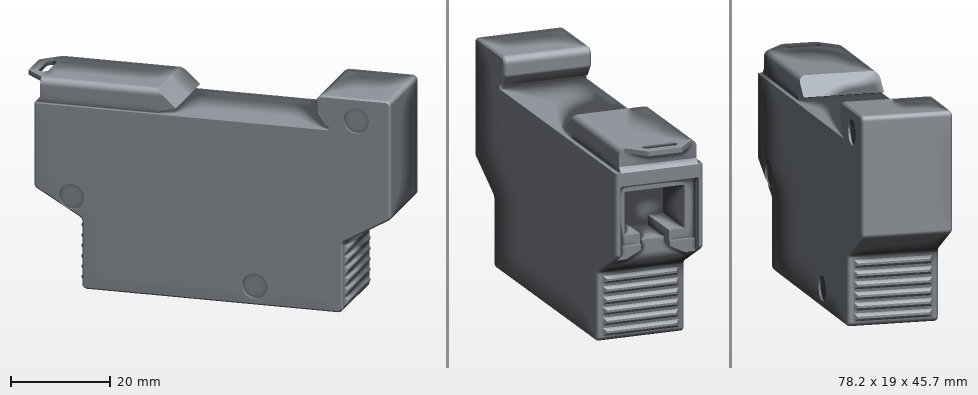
import cadquery as cq
import math

WIDTH = 19.0
HEIGHT = 45.66
HALF_UPPER = 37.6
HALF_FOOT = 27.5
SHOULDER_Z = 38.4
SLOPE_TOP_Z = 20.65
SLOPE_ANGLE = 30.0
CORNER_R = 1.0
EDGE_CHAMFER = 0.35

BLOCK_X = 21.85
NOSE_LOW_Z = 41.7
NOSE_TIP_X = 23.45
NOSE_TIP_Z = 39.4
BLOCK_ROOT_X = 24.5
NOSE_R = 1.5

COVER_WIDTH = 16.9
COVER_X = -36.65
COVER_TOP_Z = 43.35
COVER_BEVEL_Z = 39.5
COVER_TOP_END_X = -12.0
COVER_TIP = (-8.0, 39.7)
COVER_HEEL = (-11.5, 38.8)
COVER_EDGE_R = 1.4

OVERALL_LENGTH = 78.18
TAB_THICKNESS = 1.0
TAB_TIP_HALF_WIDTH = 3.6
TAB_ROOT_HALF_WIDTH = 7.3
SLOT_LENGTH = 7.5
SLOT_WIDTH = 2.0

RECESS_WIDTH = 17.1
RECESS_TOP_Z = 35.6
RECESS_DEPTH = 2.75
SILL_DEPTH = 2.1
SILL_Z = 22.2
JACK_WIDTH = 13.0
JACK_TOP_Z = 33.5
JACK_FLOOR_Z = 24.3
JACK_DEPTH = 14.0
LATCH_WIDTH = 6.3
LATCH_FLOOR_Z = SILL_Z

SCOOP_DEPTH = 5.05
FLARE_START_Z = 21.1
SCOOP_MID = (6.4, 19.4)
SCOOP_END = (9.1, 16.75)
SCOOP_LIP_R = 3.0

RIB_COUNT = 6
RIB_PITCH = 2.21
RIB_FIRST_Z = 1.95
RIB_LENGTH = 16.4
RIB_BASE = 1.65
RIB_HEIGHT = 0.6
RIB_TAPER = 45.0

MARK_DIAMETER = 5.3
MARK_DEPTH = 0.5
MARK_CENTERS = [(-29.65, 19.3), (9.0, 4.0), (30.4, 40.95)]

FOOT_TOP_Z = SLOPE_TOP_Z - (HALF_UPPER - HALF_FOOT) * math.tan(math.radians(SLOPE_ANGLE))
MARGIN = 5.0
TOL = 0.01


def slab(points, width):
    """Extrude an XZ outline symmetrically about Y = 0."""
    return cq.Workplane("XZ").polyline(points).close().extrude(width / 2, both=True)


def cross_edges(body, x, z):
    """Edges running along Y through the given XZ point."""
    half = WIDTH / 2 + 1
    return body.edges(cq.selectors.BoxSelector((x - TOL, -half, z - TOL), (x + TOL, half, z + TOL)))


def make_housing():
    rounded = [
        (-HALF_UPPER, SLOPE_TOP_Z),
        (-HALF_FOOT, FOOT_TOP_Z),
        (-HALF_FOOT, 0),
        (HALF_FOOT, 0),
        (HALF_FOOT, FOOT_TOP_Z),
        (HALF_UPPER, SLOPE_TOP_Z),
        (HALF_UPPER, HEIGHT),
    ]
    nose = [
        (BLOCK_X, HEIGHT),
        (BLOCK_X, NOSE_LOW_Z),
        (NOSE_TIP_X, NOSE_TIP_Z),
        (BLOCK_ROOT_X, NOSE_TIP_Z),
        (BLOCK_ROOT_X, SHOULDER_Z),
        (-HALF_UPPER, SHOULDER_Z),
    ]
    body = slab(rounded + nose, WIDTH)
    for x, z in rounded:
        body = cross_edges(body, x, z).fillet(CORNER_R)
    body = cross_edges(body, *nose[0]).fillet(NOSE_R)
    body = cross_edges(body, *nose[1]).fillet(CORNER_R)

    sharp = cq.selectors.BoxSelector(
        (-HALF_UPPER, -WIDTH, SHOULDER_Z - TOL),
        (BLOCK_ROOT_X + TOL, WIDTH, NOSE_TIP_Z + TOL),
    )
    outline = body.faces("<Y or >Y").edges()
    sharp_edges = outline.edges(sharp).vals()
    broken_edges = [edge for edge in outline.vals() if not any(edge.isSame(other) for other in sharp_edges)]
    return body.newObject(broken_edges).chamfer(EDGE_CHAMFER)


def make_cover():
    side_outline = [
        (COVER_X, COVER_BEVEL_Z),
        (COVER_X, COVER_TOP_Z),
        (COVER_TOP_END_X, COVER_TOP_Z),
        COVER_TIP,
        COVER_HEEL,
        (COVER_HEEL[0], SHOULDER_Z),
        (-HALF_UPPER, SHOULDER_Z),
    ]
    cover = slab(side_outline, COVER_WIDTH)
    return cover.faces(">Z").edges("|X").fillet(COVER_EDGE_R)


def make_tab():
    tip_x = HALF_UPPER - OVERALL_LENGTH
    tab = (
        cq.Workplane("XY", origin=(0, 0, COVER_TOP_Z - TAB_THICKNESS))
        .polyline([
            (tip_x, -TAB_TIP_HALF_WIDTH),
            (COVER_X, -TAB_ROOT_HALF_WIDTH),
            (COVER_X, TAB_ROOT_HALF_WIDTH),
            (tip_x, TAB_TIP_HALF_WIDTH),
        ])
        .close()
        .extrude(TAB_THICKNESS)
    )
    slot = (
        cq.Workplane("XY", origin=(COVER_X - SLOT_WIDTH / 2, 0, COVER_TOP_Z))
        .slot2D(SLOT_LENGTH, SLOT_WIDTH, 90)
        .extrude(-TAB_THICKNESS)
    )
    return tab.cut(slot)


def end_pocket(width, bottom_z, top_z, depth):
    """Rectangular cutter entering the -X end to the given depth."""
    start = cq.Workplane("XY", origin=(-HALF_UPPER - MARGIN, 0, bottom_z))
    return start.box(MARGIN + depth, width, top_z - bottom_z, centered=(False, True, False))


def make_socket():
    recess = end_pocket(RECESS_WIDTH, SILL_Z, RECESS_TOP_Z, RECESS_DEPTH)
    sill = end_pocket(RECESS_WIDTH, FOOT_TOP_Z, SILL_Z, SILL_DEPTH)
    jack = end_pocket(JACK_WIDTH, JACK_FLOOR_Z, JACK_TOP_Z, JACK_DEPTH)
    latch = end_pocket(LATCH_WIDTH, LATCH_FLOOR_Z, JACK_FLOOR_Z, JACK_DEPTH)
    return recess.union(sill).union(jack).union(latch)


def make_scoop():
    """Space in front of the scoop wall, whose lower lip rolls into the slope."""
    wall_x = -HALF_UPPER + SCOOP_DEPTH
    slope = math.radians(SLOPE_ANGLE)
    lip_z = SLOPE_TOP_Z - SCOOP_DEPTH * math.tan(slope)
    tangent = SCOOP_LIP_R * math.tan((math.pi / 2 - slope) / 2)
    wall_end = (wall_x, lip_z + tangent)
    slope_end = (wall_x + tangent * math.cos(slope), lip_z - tangent * math.sin(slope))
    center = (wall_x + SCOOP_LIP_R, wall_end[1])
    mid_angle = (math.pi / 2 - slope) / 2
    lip_mid = (center[0] - SCOOP_LIP_R * math.cos(mid_angle), center[1] - SCOOP_LIP_R * math.sin(mid_angle))
    front_x = -HALF_UPPER - MARGIN
    side = (
        cq.Workplane("XZ")
        .moveTo(front_x, LATCH_FLOOR_Z)
        .lineTo(wall_x, LATCH_FLOOR_Z)
        .lineTo(*wall_end)
        .threePointArc(lip_mid, slope_end)
        .lineTo(front_x, slope_end[1])
        .close()
        .extrude(WIDTH / 2, both=True)
    )
    neck = LATCH_WIDTH / 2
    right_half = [(neck, LATCH_FLOOR_Z), (neck, FLARE_START_Z), SCOOP_MID, SCOOP_END]
    left_half = [(-y, z) for y, z in reversed(right_half)]
    flare = (
        cq.Workplane("YZ", origin=(front_x, 0, 0))
        .polyline(right_half + left_half)
        .close()
        .extrude(HALF_UPPER + MARGIN)
    )
    return side.intersect(flare)


def add_ribs(body):
    for direction in (-1, 1):
        for index in range(RIB_COUNT):
            base = cq.Plane(
                origin=(direction * HALF_FOOT, 0, RIB_FIRST_Z + index * RIB_PITCH),
                xDir=(0, 1, 0),
                normal=(direction, 0, 0),
            )
            rib = cq.Workplane(base).rect(RIB_LENGTH, RIB_BASE).extrude(RIB_HEIGHT, taper=RIB_TAPER)
            body = body.union(rib)
    return body


def make_marks():
    return (
        cq.Workplane("XZ", origin=(0, -WIDTH / 2, 0))
        .pushPoints(MARK_CENTERS)
        .circle(MARK_DIAMETER / 2)
        .extrude(-MARK_DEPTH)
    )


housing = make_housing().cut(make_socket()).cut(make_scoop()).cut(make_marks())
result = add_ribs(housing.union(make_cover()).union(make_tab()))